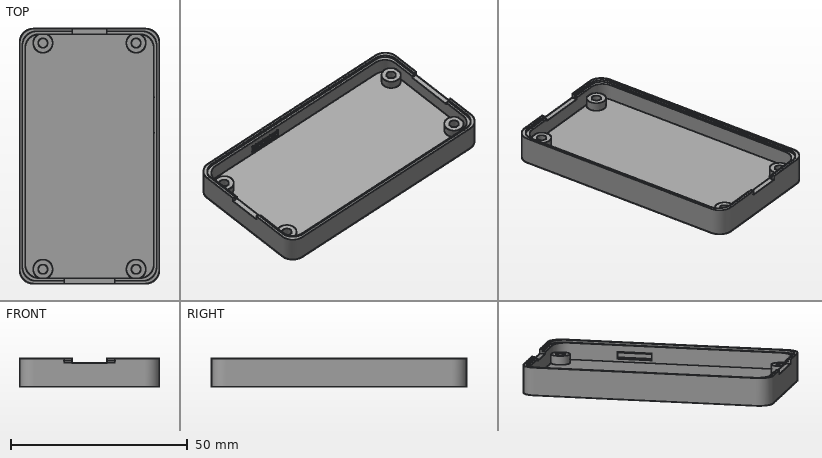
import cadquery as cq

length = 72.2
width = 39.55
height = 8.0
corner_radius = 4.0
wall = 1.6
floor_thickness = 2.6

lip_thickness = wall / 2
lip_depth = 0.65

boss_diameter = 5.5
boss_height = 2.5
hole_diameter = 2.7
boss_spacing_x = 26.35
boss_spacing_y = 63.95

notch_depth = 1.2
front_notch_width = 14.4
back_notch_width = 9.8

slot_length = 9.95
slot_height = 2.0
slot_straight_depth = 0.35
slot_taper = 0.35
slot_center_y = 11.6
slot_bottom = 3.4


def rounded_block(inset, bottom, top):
    """Upright block set in from the outer sides, with the shared corner radius."""
    return (
        cq.Workplane("XY", origin=(0, 0, bottom))
        .rect(width - 2 * inset, length - 2 * inset)
        .extrude(top - bottom)
        .edges("|Z")
        .fillet(corner_radius)
    )


def boss_cylinders(diameter):
    """Four cylinders standing on the floor, one at each boss position."""
    return (
        cq.Workplane("XY", origin=(0, 0, floor_thickness))
        .rect(boss_spacing_x, boss_spacing_y, forConstruction=True)
        .vertices()
        .circle(diameter / 2)
        .extrude(boss_height)
    )


def end_notch(notch_width, side):
    """Cutter through the rim of the end wall at -Y (side -1) or +Y (side 1)."""
    wall_center_y = side * (length - wall) / 2
    return cq.Workplane("XY", origin=(0, wall_center_y, height - notch_depth)).box(
        notch_width, wall, notch_depth, centered=(True, True, False)
    )


def wall_slot():
    """Cutter for the blind tapered slot in the inner face of the +X wall."""
    inner_face_x = width / 2 - wall
    taper_start_x = inner_face_x + slot_straight_depth
    back_x = taper_start_x + slot_taper
    slot_top = slot_bottom + slot_height
    return (
        cq.Workplane("XZ", origin=(0, slot_center_y, 0))
        .moveTo(inner_face_x, slot_bottom)
        .lineTo(taper_start_x, slot_bottom)
        .lineTo(back_x, slot_bottom + slot_taper)
        .lineTo(back_x, slot_top - slot_taper)
        .lineTo(taper_start_x, slot_top)
        .lineTo(inner_face_x, slot_top)
        .close()
        .extrude(slot_length / 2, both=True)
    )


tray = rounded_block(0, 0, height)
tray = tray.cut(rounded_block(wall, floor_thickness, height))
tray = tray.cut(rounded_block(lip_thickness, height - lip_depth, height))
tray = tray.union(boss_cylinders(boss_diameter))
tray = tray.cut(boss_cylinders(hole_diameter))
tray = tray.cut(end_notch(front_notch_width, -1))
tray = tray.cut(end_notch(back_notch_width, 1))
result = tray.cut(wall_slot())